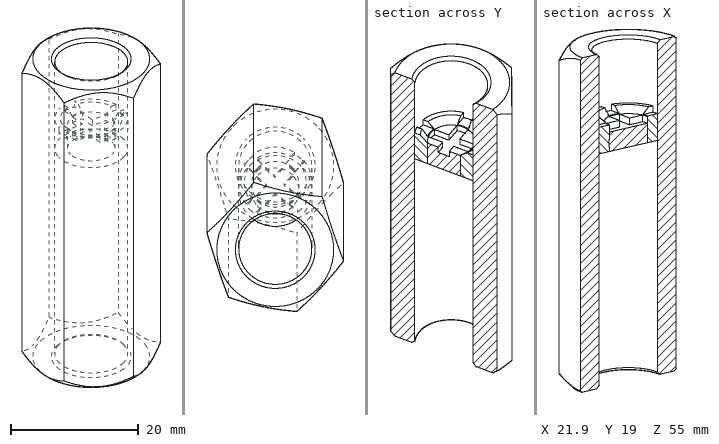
import cadquery as cq
import math

length = 55.0
across_flats = 19.0
across_corners = across_flats / math.cos(math.pi / 6)
end_face_diameter = 18.3
corner_chamfer = (across_corners - end_face_diameter) / 2
bore_diameter = 11.45
bore_mouth_diameter = 12.5
mouth_chamfer = (bore_mouth_diameter - bore_diameter) / 2

ring_top = 44.0
ring_height = 5.5
cone_top_diameter = 9.7
hole_diameter = 7.4
cone_depth = (cone_top_diameter - hole_diameter) / 2
slot_width = 2.0
slot_floor_diameter = 7.6
ring_slot_depth = (cone_top_diameter - slot_floor_diameter) / 2

ring_bottom = ring_top - ring_height
plug_height = ring_height - cone_depth
plug_slot_depth = 1.1


def cylinder(diameter, bottom, height):
    """Upright cylinder on the Z axis."""
    return cq.Workplane("XY").workplane(offset=bottom).circle(diameter / 2).extrude(height)


def cross_slot(top, depth):
    """Two crossed bars that reach past the bore, ending at the given top level."""
    cross = cq.Workplane("XY")
    for bar_length, bar_width in ((bore_mouth_diameter, slot_width), (slot_width, bore_mouth_diameter)):
        bar = cq.Workplane("XY").workplane(offset=top - depth).rect(bar_length, bar_width).extrude(depth)
        cross = cross.union(bar)
    return cross


def make_housing():
    """Hexagonal bar with conical corner chamfers and a chamfered through bore."""
    hexagon = cq.Workplane("XY").polygon(6, across_corners).extrude(length)
    envelope = cylinder(across_corners, 0, length).faces("<Z or >Z").chamfer(corner_chamfer)
    body = hexagon.intersect(envelope).cut(cylinder(bore_diameter, 0, length))
    return body.faces("<Z or >Z").edges(cq.selectors.RadiusNthSelector(0)).chamfer(mouth_chamfer)


def make_seat_ring():
    """Ring with a conical seat and a cross slot in its upper face."""
    ring = cylinder(bore_diameter, ring_bottom, ring_height).cut(
        cylinder(hole_diameter, ring_bottom, ring_height)
    )
    ring = ring.faces(">Z").edges(cq.selectors.RadiusNthSelector(0)).chamfer(cone_depth)
    return ring.cut(cross_slot(ring_top, ring_slot_depth))


def make_plug():
    """Disc with a cross slot in line with the slot of the ring."""
    plug = cylinder(hole_diameter, ring_bottom, plug_height)
    return plug.cut(cross_slot(ring_bottom + plug_height, plug_slot_depth))


housing = make_housing()
seat_ring = make_seat_ring()
plug = make_plug()

result = cq.Compound.makeCompound([housing.val(), seat_ring.val(), plug.val()])